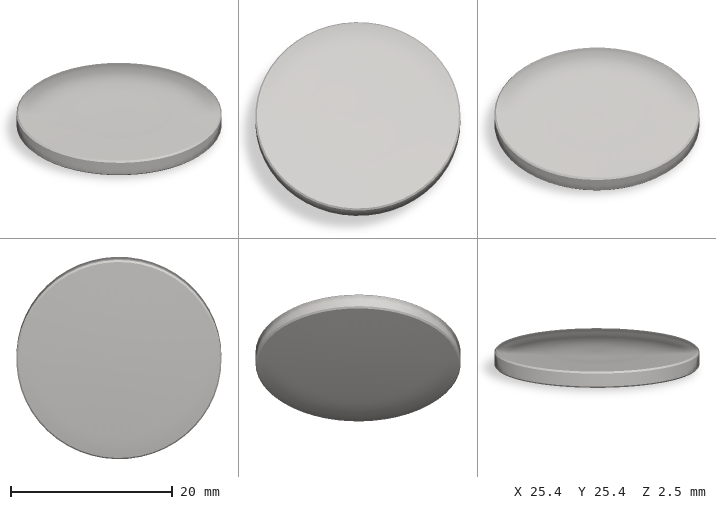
import cadquery as cq

diameter = 25.4
total_height = 2.5
bottom_sag = 0.43
top_sag = 0.15
bevel = 0.2

radius = diameter / 2
face_radius = radius - bevel
half_face_radius = face_radius / 2


def sag_at_half_radius(sag):
    """Height above the vertex, at half the face radius, of a spherical face with this sag."""
    sphere_radius = (face_radius**2 + sag**2) / (2 * sag)
    return sphere_radius - (sphere_radius**2 - half_face_radius**2) ** 0.5


top_vertex = total_height - top_sag

half_section = (
    cq.Workplane("XZ")
    .moveTo(0, 0)
    .threePointArc((half_face_radius, sag_at_half_radius(bottom_sag)), (face_radius, bottom_sag))
    .lineTo(radius, bottom_sag + bevel)
    .lineTo(radius, total_height - bevel)
    .lineTo(face_radius, total_height)
    .threePointArc((half_face_radius, top_vertex + sag_at_half_radius(top_sag)), (0, top_vertex))
    .close()
)

result = half_section.revolve(360, (0, 0, 0), (0, 1, 0)).rotate((0, 0, 0), (0, 0, 1), -90)